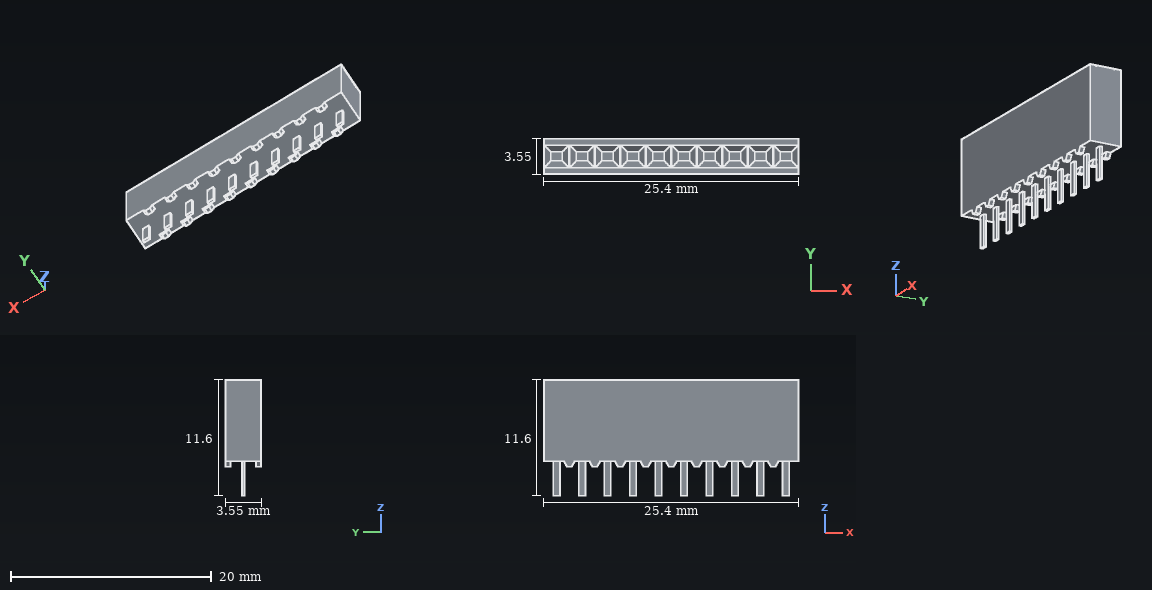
import cadquery as cq

positions = 10
length = 25.4
width = 3.55
housing_height = 8.13
pitch = length / positions

pocket_length = 2.45
pocket_width = 2.24
floor_length = 1.17
floor_width = 0.91
taper_depth = 0.65
recess_depth = 0.1

pin_width = 0.69
pin_thickness = 0.25
pin_length = 3.43

foot_top_length = 1.1
foot_tip_length = 0.48
foot_height = 0.53
foot_width = 0.5

position_centers = [((i - (positions - 1) / 2) * pitch, 0) for i in range(positions)]
foot_centers = [(i - positions / 2) * pitch for i in range(1, positions)]


def make_housing():
    """Plain block with its underside at Z = 0."""
    return cq.Workplane("XY").box(length, width, housing_height, centered=(True, True, False))


def make_pocket():
    """Funnel narrowing from the top face to a shallow straight-walled recess."""
    taper = (
        cq.Workplane("XY", origin=(0, 0, housing_height))
        .rect(pocket_length, pocket_width)
        .workplane(offset=-taper_depth)
        .rect(floor_length, floor_width)
        .loft(ruled=True)
    )
    recess = (
        cq.Workplane("XY", origin=(0, 0, housing_height - taper_depth))
        .rect(floor_length, floor_width)
        .extrude(-recess_depth)
    )
    return taper.union(recess)


def make_pins():
    """Flat pins hanging from the underside, one below each pocket."""
    return (
        cq.Workplane("XY")
        .pushPoints(position_centers)
        .rect(pin_width, pin_thickness)
        .extrude(-pin_length)
    )


def make_foot(x, inner_y, outer_y):
    """Trapezoidal standoff centred at x, spanning from inner_y to outer_y."""
    outline = [
        (x - foot_top_length / 2, 0),
        (x - foot_tip_length / 2, -foot_height),
        (x + foot_tip_length / 2, -foot_height),
        (x + foot_top_length / 2, 0),
    ]
    return (
        cq.Workplane("XZ", origin=(0, inner_y, 0))
        .polyline(outline)
        .close()
        .extrude(inner_y - outer_y)
    )


result = make_housing().union(make_pins())

for center_x, center_y in position_centers:
    result = result.cut(make_pocket().translate((center_x, center_y, 0)))

for foot_x in foot_centers:
    for side in (-1, 1):
        outer_y = side * width / 2
        inner_y = outer_y - side * foot_width
        result = result.union(make_foot(foot_x, inner_y, outer_y))